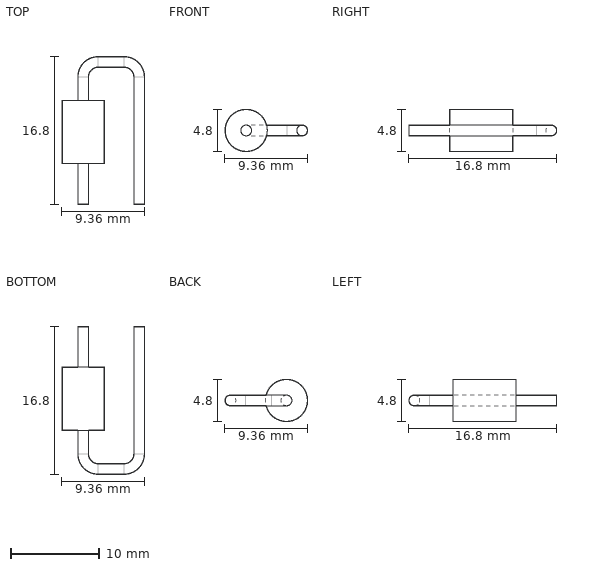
import cadquery as cq

overall_length = 16.77

body_diameter = 4.8
body_length = 7.18
body_start = 4.61

lead_diameter = 1.22
lead_pitch = 6.35
bend_radius = 1.71

lead_radius = lead_diameter / 2
crown_y = overall_length - lead_radius
bend_start_y = crown_y - bend_radius


def make_body():
    """Cylinder around the first leg of the lead, rising from body_start."""
    base = cq.Workplane("XZ", origin=(0, body_start, 0))
    return base.circle(body_diameter / 2).extrude(-body_length)


def make_lead():
    """Round wire swept up through the body, over the crown and back down."""
    path = (
        cq.Workplane("XY")
        .lineTo(0, bend_start_y)
        .tangentArcPoint((bend_radius, crown_y), relative=False)
        .lineTo(lead_pitch - bend_radius, crown_y)
        .tangentArcPoint((lead_pitch, bend_start_y), relative=False)
        .lineTo(lead_pitch, 0)
    )
    return cq.Workplane("XZ").circle(lead_radius).sweep(path)


result = make_body().union(make_lead())